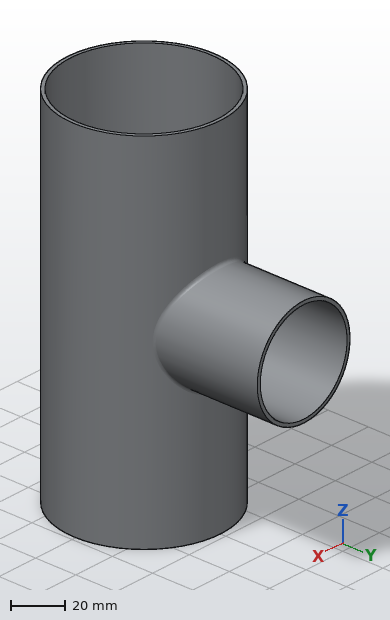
import cadquery as cq

run_diameter = 76.2
run_length = 171.4
branch_diameter = 50.8
branch_reach = 79.4
wall = 1.65
junction_fillet = 1.5

run_radius = run_diameter / 2
branch_radius = branch_diameter / 2


def tee_shape(run_r, branch_r):
    """Vertical run centred on the origin, joined by a branch pointing along +Y."""
    run = cq.Workplane("XY").circle(run_r).extrude(run_length / 2, both=True)
    branch = cq.Workplane("XZ").circle(branch_r).extrude(-branch_reach)
    return run.union(branch)


def outer_body():
    """Solid tee with the saddle-shaped junction filleted."""
    junction_zone = cq.selectors.BoxSelector(
        (-branch_radius, run_radius / 2, -branch_radius),
        (branch_radius, run_radius, branch_radius),
    )
    tee = tee_shape(run_radius, branch_radius)
    return tee.edges(junction_zone).fillet(junction_fillet)


bore = tee_shape(run_radius - wall, branch_radius - wall)

result = outer_body().cut(bore)